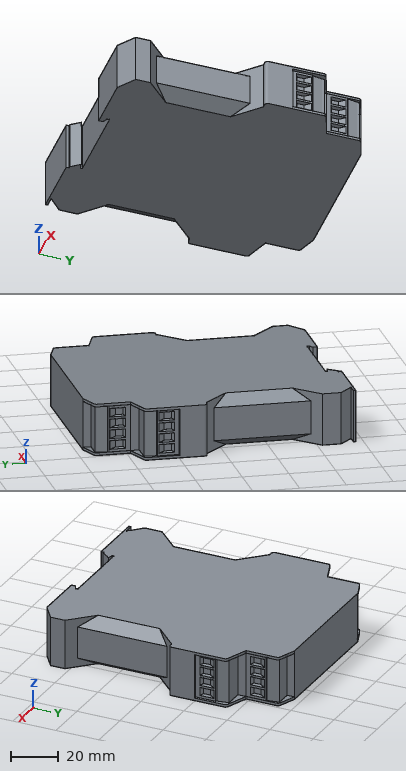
import cadquery as cq
import math


width = 99.0
length = 113.5
height = 22.6
half_width = width / 2

front_half_width = 30.1
upper_half_width = 38.7
shoulder_angle = 20.2
shoulder_root_y = -18.3
shoulder_underside_y = -49.0
shoulder_lip = 2.8
shoulder_radius = 1.4

waist_half_width = 35.9
waist_top_y = shoulder_underside_y - (half_width - shoulder_lip - waist_half_width)
waist_bottom_y = -88.4
infill_half_width = 42.3
infill_bevel_height = 4.05

foot_half_width = 46.3
foot_top_y = waist_bottom_y - (foot_half_width - waist_half_width)
foot_left_bottom_y = -106.9
foot_right_bottom_y = -105.4
foot_right_base_x = 38.7
foot_right_base_y = -110.9
rail_seat_y = -106.9

latch_tip_x = -44.8
latch_root_x = -40.3
latch_thickness = 1.0
latch_end_x = -18.4
latch_step_y = -112.2
latch_step_x = -17.6
latch_hook_x = -14.5
latch_hook_y = -108.2
latch_groove_x = -17.0
latch_groove_y = -107.7

hook_groove_x = 17.4
hook_groove_y = -107.9
hook_tip_x = 15.3
hook_tip_y = -108.9

plate_thickness = 1.2
terminal_start_y = -3.4
terminal_pitch_y = 18.7
terminal_pitch_x = 9.7
terminal_length = 14.9
rim_depth = 1.2
nose_depth = 2.3
nose_length = 1.0
panel_end_depth = 1.6
panel_end = 5.3
rim_start = 5.7

opening_count = 4
opening_pitch = 4.73
opening_width = 3.73
opening_floor_width = 3.17
opening_floor_depth = 2.9
opening_start = 6.3
opening_floor_start = 8.9
opening_floor_end = 12.1
opening_end = 12.9

overcut = 3.0


def shoulder_outer_y(root_y, reach):
    """Y of the sharp outer corner of a shoulder that starts at root_y and runs outward by reach."""
    return root_y - reach * math.tan(math.radians(shoulder_angle))


upper_corner_y = shoulder_outer_y(0, upper_half_width - front_half_width)
lower_corner_y = shoulder_outer_y(shoulder_root_y, half_width - upper_half_width)


def both_sides(left_feature):
    """The feature on the -X side together with its mirror image on the +X side."""
    return left_feature.union(left_feature.mirror("YZ"))


def housing_body():
    left_side = [
        (-front_half_width, 0),
        (-upper_half_width, upper_corner_y),
        (-upper_half_width, shoulder_root_y),
        (-half_width, lower_corner_y),
        (-half_width, shoulder_underside_y),
        (-half_width + shoulder_lip, shoulder_underside_y),
        (-waist_half_width, waist_top_y),
        (-waist_half_width, waist_bottom_y),
        (-foot_half_width, foot_top_y),
    ]
    right_side = [(-x, y) for x, y in reversed(left_side)]
    latch = [
        (-foot_half_width, foot_left_bottom_y),
        (latch_root_x, -length + latch_thickness),
        (latch_tip_x, -length + latch_thickness),
        (latch_tip_x, -length),
        (latch_end_x, -length),
        (latch_end_x, latch_step_y),
        (latch_step_x, latch_step_y),
        (latch_hook_x, latch_hook_y),
        (latch_groove_x, latch_groove_y),
        (latch_groove_x, rail_seat_y),
    ]
    fixed_hook = [
        (hook_groove_x, rail_seat_y),
        (hook_groove_x, hook_groove_y),
        (hook_tip_x, hook_tip_y),
        (hook_tip_x, foot_right_base_y),
        (foot_right_base_x, foot_right_base_y),
        (foot_half_width, foot_right_bottom_y),
    ]
    outline = left_side + latch + fixed_hook + right_side
    body = cq.Workplane("XY").polyline(outline).close().extrude(height)

    rounded_corners = [
        (upper_half_width, upper_corner_y),
        (half_width, lower_corner_y),
        (half_width, shoulder_underside_y),
    ]
    for x, y in rounded_corners:
        for side in (-1, 1):
            corner_edge = cq.selectors.NearestToPointSelector((side * x, y, height / 2))
            body = body.edges("|Z").edges(corner_edge).fillet(shoulder_radius)
    return body


def waist_infill():
    """Bevelled block that spans the waist and ends on its sloping shoulders."""
    bevel_run = infill_half_width - waist_half_width
    section = [
        (-waist_half_width, 0),
        (-infill_half_width, infill_bevel_height),
        (-infill_half_width, height - infill_bevel_height),
        (-waist_half_width, height),
        (waist_half_width, height),
        (infill_half_width, height - infill_bevel_height),
        (infill_half_width, infill_bevel_height),
        (waist_half_width, 0),
    ]
    infill_top_y = waist_top_y + bevel_run
    infill_length = infill_top_y - (waist_bottom_y - bevel_run)
    return (
        cq.Workplane("XZ", origin=(0, infill_top_y, 0))
        .polyline(section)
        .close()
        .extrude(infill_length)
    )


def terminal_recess(face_x, start_y, wall_x, root_y):
    """Space cut away between the side plates, down to the outer surface of one terminal block."""
    end_y = start_y - terminal_length
    outside_x = -half_width - overcut
    profile = [
        (outside_x, root_y),
        (wall_x, root_y),
        (wall_x, start_y),
        (face_x + nose_depth, start_y),
        (face_x + nose_depth, start_y - nose_length),
        (face_x + panel_end_depth, start_y - panel_end),
        (face_x + rim_depth, start_y - rim_start),
        (face_x + rim_depth, end_y),
        (outside_x, end_y),
    ]
    return (
        cq.Workplane("XY", origin=(0, 0, plate_thickness))
        .polyline(profile)
        .close()
        .extrude(height - 2 * plate_thickness)
    )


def wire_openings(face_x, start_y):
    """Row of tapered wire openings with a sloping entry and a flat floor."""
    rim_x = face_x + rim_depth
    floor_x = face_x + opening_floor_depth
    side_profile = [
        (rim_x, start_y - opening_start),
        (floor_x, start_y - opening_floor_start),
        (floor_x, start_y - opening_floor_end),
        (rim_x, start_y - opening_end),
    ]
    run = cq.Workplane("XY").polyline(side_profile).close().extrude(height)

    tapers = cq.Workplane("XZ", origin=(0, start_y, 0))
    for index in range(opening_count):
        centre_z = height / 2 + (index - (opening_count - 1) / 2) * opening_pitch
        taper = [
            (rim_x, centre_z - opening_width / 2),
            (floor_x, centre_z - opening_floor_width / 2),
            (floor_x, centre_z + opening_floor_width / 2),
            (rim_x, centre_z + opening_width / 2),
        ]
        tapers = tapers.polyline(taper).close()
    return run.intersect(tapers.extrude(terminal_length))


def terminal_cut(face_x, start_y, wall_x, root_y):
    recess = terminal_recess(face_x, start_y, wall_x, root_y)
    return both_sides(recess.union(wire_openings(face_x, start_y)))


lower_terminals = terminal_cut(
    -half_width, terminal_start_y - terminal_pitch_y, -upper_half_width, shoulder_root_y
)
upper_terminals = terminal_cut(
    -half_width + terminal_pitch_x, terminal_start_y, -front_half_width, 0
)

result = housing_body().union(waist_infill()).cut(lower_terminals).cut(upper_terminals)